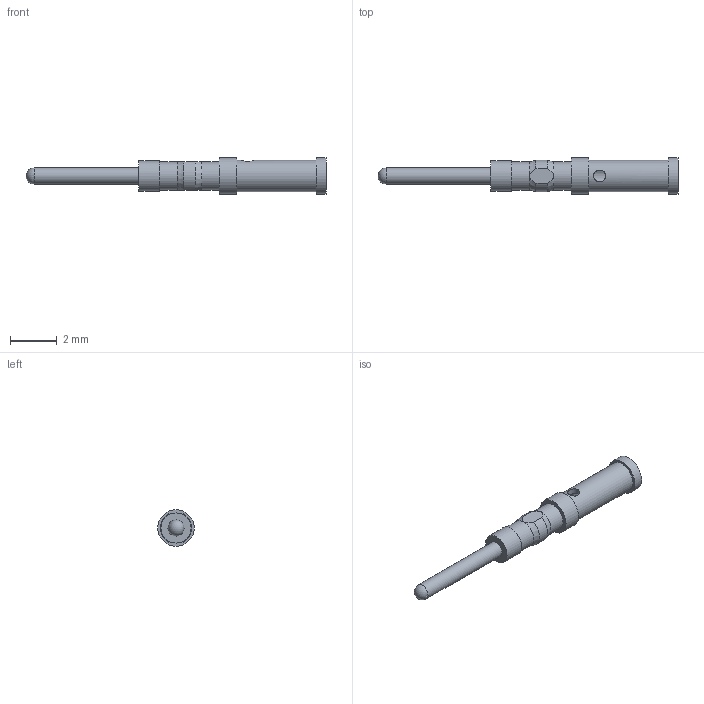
import cadquery as cq

pin_diameter = 0.69
front_ring_diameter = 1.29
neck_diameter = 1.20
bulge_diameter = 1.35
flange_diameter = 1.56
barrel_diameter = 1.33
bore_diameter = 0.87
inspection_hole_diameter = 0.51

pin_length = 4.82
front_ring_length = 0.89
front_neck_length = 0.76
bulge_ramp_length = 0.28
bulge_crest_length = 0.49
rear_neck_length = 0.73
collar_length = 0.76
barrel_length = 3.40
rim_length = 0.41

width_across_flats = neck_diameter

inspection_hole_offset = 0.46

pin_end = pin_length
front_ring_end = pin_end + front_ring_length
bulge_start = front_ring_end + front_neck_length
crest_start = bulge_start + bulge_ramp_length
crest_end = crest_start + bulge_crest_length
bulge_end = crest_end + bulge_ramp_length
collar_start = bulge_end + rear_neck_length
collar_end = collar_start + collar_length
rim_start = collar_end + barrel_length
overall_length = rim_start + rim_length


def cylinder(diameter, start, end):
    """Solid cylinder on the X axis between two stations."""
    return cq.Workplane("YZ", origin=(start, 0, 0)).circle(diameter / 2).extrude(end - start)


def round_nosed_pin():
    """Contact pin with a hemispherical tip."""
    pin = cylinder(pin_diameter, pin_diameter / 2, pin_end)
    tip = cq.Workplane("XY", origin=(pin_diameter / 2, 0, 0)).sphere(pin_diameter / 2)
    return pin.union(tip)


def flattened_bulge():
    """Swelling with conical ramps, flattened on top and bottom."""
    neck_radius = neck_diameter / 2
    crest_radius = bulge_diameter / 2
    bulge = (
        cq.Workplane("XY")
        .moveTo(bulge_start, 0)
        .lineTo(bulge_start, neck_radius)
        .lineTo(crest_start, crest_radius)
        .lineTo(crest_end, crest_radius)
        .lineTo(bulge_end, neck_radius)
        .lineTo(bulge_end, 0)
        .close()
        .revolve(360, (0, 0, 0), (1, 0, 0))
    )
    bulge_center = (bulge_start + bulge_end) / 2
    between_flats = cq.Workplane("XY", origin=(bulge_center, 0, 0)).box(
        bulge_end - bulge_start, bulge_diameter, width_across_flats
    )
    return bulge.intersect(between_flats)


def inspection_hole():
    """Radial hole through the top wall of the barrel, reaching the bore."""
    hole_center = collar_end + inspection_hole_offset
    return (
        cq.Workplane("XY", origin=(hole_center, 0, 0))
        .circle(inspection_hole_diameter / 2)
        .extrude(barrel_diameter)
    )


turned_sections = [
    cylinder(front_ring_diameter, pin_end, front_ring_end),
    cylinder(neck_diameter, front_ring_end, bulge_start),
    flattened_bulge(),
    cylinder(neck_diameter, bulge_end, collar_start),
    cylinder(flange_diameter, collar_start, collar_end),
    cylinder(barrel_diameter, collar_end, rim_start),
    cylinder(flange_diameter, rim_start, overall_length),
]

body = round_nosed_pin()
for section in turned_sections:
    body = body.union(section)

wire_bore = cylinder(bore_diameter, collar_end, overall_length)

result = body.cut(wire_bore).cut(inspection_hole())